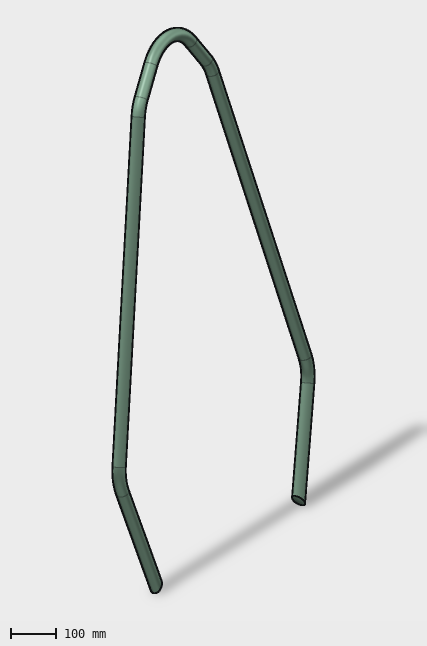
import cadquery as cq
import math


BAR_RADIUS = 15.0
BEND_RADIUS = 100.0

TILT = 7.51

SHOULDER_ANGLE = 39.0
LEG_ANGLE = 16.56
FOOT_ANGLE = 18.9

SHOULDER_HALF_WIDTH = 140.3
ANKLE_HALF_WIDTH = 374.85
HOOP_HEIGHT = 1179.25

FOOT_CUT_ANGLE = 36.0
FOOT_ALLOWANCE = 60.0
CUTTER_SIZE = 4 * FOOT_ALLOWANCE


def rise(run, angle):
    """Distance along the axis of symmetry for a sideways run at an angle to it."""
    return run / math.tan(math.radians(angle))


def centreline_corners():
    """Sharp corners of the right half as (sideways, slope height), from the crown to the cut."""
    crown_offset = BEND_RADIUS * (1 / math.sin(math.radians(SHOULDER_ANGLE)) - 1)
    shoulder_height = crown_offset - rise(SHOULDER_HALF_WIDTH, SHOULDER_ANGLE)
    ankle_height = shoulder_height - rise(ANKLE_HALF_WIDTH - SHOULDER_HALF_WIDTH, LEG_ANGLE)
    foot_drop = HOOP_HEIGHT + ankle_height
    foot_half_width = ANKLE_HALF_WIDTH - foot_drop * math.tan(math.radians(FOOT_ANGLE))
    return [
        (0, crown_offset),
        (SHOULDER_HALF_WIDTH, shoulder_height),
        (ANKLE_HALF_WIDTH, ankle_height),
        (foot_half_width, -HOOP_HEIGHT),
    ]


def bend(before, corner, after):
    """Start, middle and end of the tangent arc that rounds a corner of the centreline."""
    corner = cq.Vector(*corner)
    to_before = (cq.Vector(*before) - corner).normalized()
    to_after = (cq.Vector(*after) - corner).normalized()
    half_angle = to_before.getAngle(to_after) / 2
    setback = BEND_RADIUS / math.tan(half_angle)
    apex_distance = BEND_RADIUS / math.sin(half_angle) - BEND_RADIUS
    start = corner + to_before * setback
    middle = corner + (to_before + to_after).normalized() * apex_distance
    end = corner + to_after * setback
    return start.toTuple()[:2], middle.toTuple()[:2], end.toTuple()[:2]


def make_bar():
    """Bar swept along the bent centreline, with over-long feet."""
    right = centreline_corners()
    foot_end_half_width = right[-1][0] - FOOT_ALLOWANCE * math.sin(math.radians(FOOT_ANGLE))
    foot_end_height = right[-1][1] - FOOT_ALLOWANCE * math.cos(math.radians(FOOT_ANGLE))
    right[-1] = (foot_end_half_width, foot_end_height)
    left = [(-x, y) for x, y in reversed(right[1:])]
    corners = left + right

    centreline = cq.Workplane("YZ").moveTo(*corners[0])
    for before, corner, after in zip(corners, corners[1:], corners[2:]):
        start, middle, end = bend(before, corner, after)
        centreline = centreline.lineTo(*start).threePointArc(middle, end)
    centreline = centreline.lineTo(*corners[-1])

    foot_start = cq.Vector(0, *corners[0])
    foot_direction = cq.Vector(0, *corners[1]) - foot_start
    section = cq.Plane(origin=foot_start, xDir=(1, 0, 0), normal=foot_direction)
    return cq.Workplane(section).circle(BAR_RADIUS).sweep(centreline)


def mitre_cutter(side):
    """Block beyond the mitred end of one foot; side is +1 for +Y and -1 for -Y."""
    foot_half_width, foot_height = centreline_corners()[-1]
    slope = math.radians(FOOT_CUT_ANGLE)
    cut_normal = cq.Vector(0, -side * math.cos(slope), -math.sin(slope))
    origin = cq.Vector(0, side * foot_half_width, foot_height)
    cut_plane = cq.Plane(origin=origin, xDir=(1, 0, 0), normal=cut_normal)
    return cq.Workplane(cut_plane).rect(CUTTER_SIZE, CUTTER_SIZE).extrude(CUTTER_SIZE)


hoop = make_bar()
for side in (1, -1):
    hoop = hoop.cut(mitre_cutter(side))

result = hoop.rotate((0, 0, 0), (0, 1, 0), -TILT)